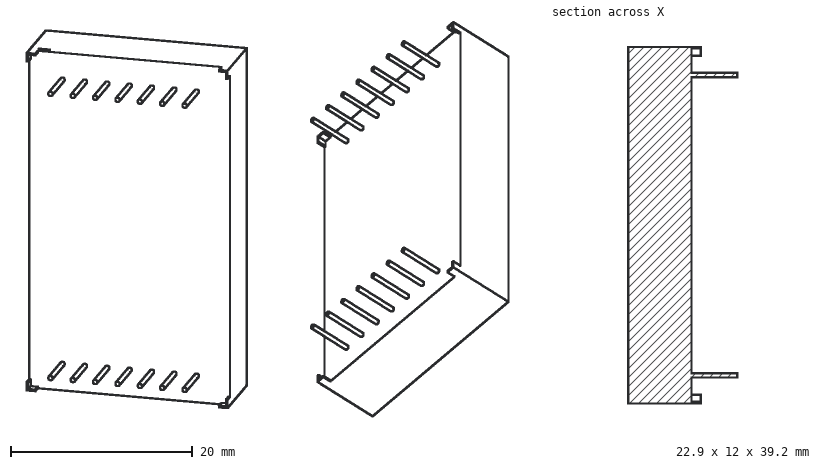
import cadquery as cq

case_width = 22.9
case_height = 39.2
total_depth = 12.0
pin_length = 5.0
case_depth = total_depth - pin_length

foot_projection = 1.0
foot_size = 0.98
leg_thickness = 0.2

pin_diameter = 0.5
pin_pitch = 2.55
pins_per_row = 7
row_spacing = 33.0

mark_from_side = 1.53
mark_length = 1.25
mark_width = 0.1
mark_depth = 0.2
mark_center_x = mark_from_side - case_width / 2
mark_from_pin_face = 0.7

pin_face_y = pin_length - total_depth / 2


def make_case():
    return cq.Workplane("XY").box(case_width, case_depth, case_height).translate(
        (0, pin_face_y + case_depth / 2, 0)
    )


def make_foot(side, end):
    """Corner foot; side and end are -1 or 1 and select the corner in X and Z."""
    corner_x = side * case_width / 2
    corner_z = end * case_height / 2
    outline = [
        (corner_x, corner_z),
        (corner_x - side * foot_size, corner_z),
        (corner_x - side * foot_size, corner_z - end * leg_thickness),
        (corner_x - side * leg_thickness, corner_z - end * leg_thickness),
        (corner_x - side * leg_thickness, corner_z - end * foot_size),
        (corner_x, corner_z - end * foot_size),
    ]
    return (
        cq.Workplane("XZ", origin=(0, pin_face_y, 0))
        .polyline(outline)
        .close()
        .extrude(foot_projection)
    )


def make_pins():
    return (
        cq.Workplane("XZ", origin=(0, pin_face_y, 0))
        .rarray(pin_pitch, row_spacing, pins_per_row, 2)
        .circle(pin_diameter / 2)
        .extrude(pin_length)
    )


def make_index_mark():
    return cq.Workplane("XY").box(mark_length, mark_width, mark_depth).translate(
        (mark_center_x, pin_face_y + mark_from_pin_face, (case_height - mark_depth) / 2)
    )


result = make_case().union(make_pins())
for side in (-1, 1):
    for end in (-1, 1):
        result = result.union(make_foot(side, end))
result = result.cut(make_index_mark())